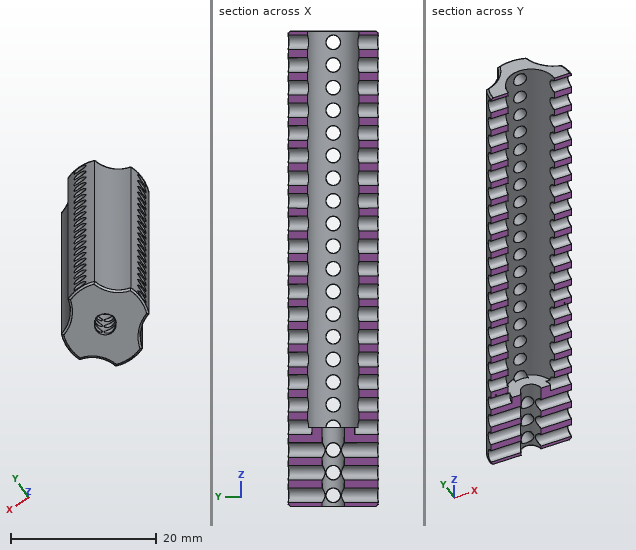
import cadquery as cq
import math

length = 65.6
lobe_radius = 6.25
lobe_half_width = 2.2
flute_floor_radius = 5.0
end_chamfer = 0.3
lobe_count = 4

hole_count = 21
hole_diameter = 2.0
hole_pitch = length / hole_count

bore_diameter = 7.1
through_diameter = 3.0
floor_hole_index = 3
bore_floor = (floor_hole_index + 0.5) * hole_pitch
core_diameter = 6.0


def polar(radius, angle):
    """Point at a radius and angle about the axis."""
    return (radius * math.cos(angle), radius * math.sin(angle))


def fluted_body():
    """Four round-topped lobes separated by concave flutes, chamfered at both ends."""
    half_angle = math.asin(lobe_half_width / lobe_radius)
    step = 2 * math.pi / lobe_count
    outline = cq.Workplane("XY").moveTo(*polar(lobe_radius, -half_angle))
    for lobe in range(lobe_count):
        middle = lobe * step
        outline = outline.threePointArc(
            polar(lobe_radius, middle), polar(lobe_radius, middle + half_angle)
        )
        outline = outline.threePointArc(
            polar(flute_floor_radius, middle + step / 2),
            polar(lobe_radius, middle + step - half_angle),
        )
    body = outline.close().extrude(length)
    return body.faces("<Z or >Z").chamfer(end_chamfer)


def axial_hole():
    """Wide bore from the top down to its floor, then a narrow hole to the bottom."""
    narrow = cq.Workplane("XY").circle(through_diameter / 2).extrude(length)
    wide = (
        cq.Workplane("XY", origin=(0, 0, bore_floor))
        .circle(bore_diameter / 2)
        .extrude(length - bore_floor)
    )
    return narrow.union(wide)


def hole_row(plane, indices):
    """Cross holes at the given places in the row, running through along the plane normal."""
    return (
        cq.Workplane(plane)
        .pushPoints([(0, (index + 0.5) * hole_pitch) for index in indices])
        .circle(hole_diameter / 2)
        .extrude(lobe_radius, both=True)
    )


def cross_holes(plane):
    """The open holes of a row and the one at the bore floor, which stops at the core."""
    open_indices = [index for index in range(hole_count) if index != floor_hole_index]
    core = cq.Workplane("XY").circle(core_diameter / 2).extrude(length)
    stopped_hole = hole_row(plane, [floor_hole_index]).cut(core)
    return hole_row(plane, open_indices), stopped_hole


result = fluted_body().cut(axial_hole())
for hole_plane in ("XZ", "YZ"):
    for holes in cross_holes(hole_plane):
        result = result.cut(holes)